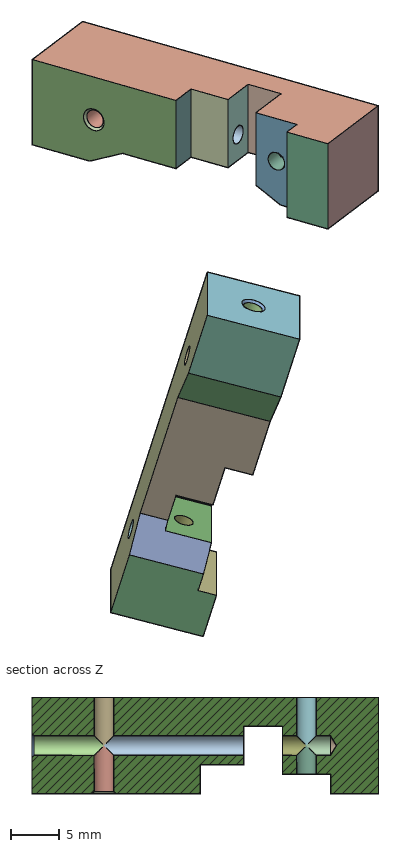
import cadquery as cq
import math

length = 36.0
width = 10.0
height = 10.0

deep_slot_start = 22.0
deep_slot_width = 4.0
deep_slot_depth = 7.0
deep_slot_end = deep_slot_start + deep_slot_width
left_step_width = 4.5
left_step_depth = 3.0
right_step_width = 5.0
right_step_depth = 2.0

relief_height = 2.0
relief_bottom_length = 22.0
relief_top_length = 14.0

hole_diameter = 2.0
countersink_diameter = 2.5
countersink_depth = (countersink_diameter - hole_diameter) / 2
cross_hole_inset = 7.5
hole_z = height / 2
end_hole_y = width / 2
end_hole_depth = 31.0
drill_point_angle = 118.0


def make_bar():
    return cq.Workplane("XY").box(length, width, height, centered=False)


def step_cut(x_start, step_width, depth):
    return cq.Workplane("XY").box(step_width, depth, height, centered=False).translate((x_start, 0, 0))


def underside_relief():
    middle = length / 2
    half_bottom = relief_bottom_length / 2
    half_top = relief_top_length / 2
    profile = [
        (middle - half_bottom, 0),
        (middle - half_top, relief_height),
        (middle + half_top, relief_height),
        (middle + half_bottom, 0),
    ]
    return cq.Workplane("XZ").polyline(profile).close().extrude(-width)


def drill(start, direction, depth):
    return cq.Workplane(cq.Solid.makeCylinder(hole_diameter / 2, depth, start, direction))


def countersink(start, direction):
    return cq.Workplane(
        cq.Solid.makeCone(countersink_diameter / 2, hole_diameter / 2, countersink_depth, start, direction)
    )


def drill_point(start, direction):
    radius = hole_diameter / 2
    point_length = radius / math.tan(math.radians(drill_point_angle / 2))
    return cq.Workplane(cq.Solid.makeCone(radius, 0, point_length, start, direction))


along_x = cq.Vector(1, 0, 0)
along_y = cq.Vector(0, 1, 0)

result = make_bar().cut(underside_relief())
result = result.cut(step_cut(deep_slot_start - left_step_width, left_step_width, left_step_depth))
result = result.cut(step_cut(deep_slot_start, deep_slot_width, deep_slot_depth))
result = result.cut(step_cut(deep_slot_end, right_step_width, right_step_depth))

left_hole_start = cq.Vector(cross_hole_inset, 0, hole_z)
right_hole_start = cq.Vector(length - cross_hole_inset, 0, hole_z)
for hole_start in (left_hole_start, right_hole_start):
    result = result.cut(drill(hole_start, along_y, width))
result = result.cut(countersink(left_hole_start, along_y))

end_hole_start = cq.Vector(0, end_hole_y, hole_z)
end_hole_bottom = end_hole_start + along_x * end_hole_depth
result = result.cut(drill(end_hole_start, along_x, end_hole_depth))
result = result.cut(drill_point(end_hole_bottom, along_x))
result = result.cut(countersink(end_hole_start, along_x))